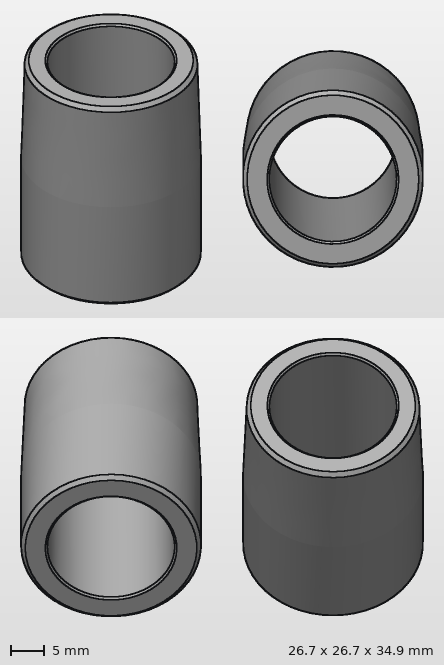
import cadquery as cq

height = 34.92
body_radius = 13.35
bore_radius = 9.43

shoulder_height = 17.67
neck_radius = 12.8

outer_chamfer = 0.63
bore_chamfer = 0.3

neck_height = height - outer_chamfer

section = (
    cq.Workplane("XZ")
    .moveTo(bore_radius + bore_chamfer, 0)
    .lineTo(body_radius - outer_chamfer, 0)
    .lineTo(body_radius, outer_chamfer)
    .lineTo(body_radius, shoulder_height)
    .lineTo(neck_radius, neck_height)
    .lineTo(neck_radius - outer_chamfer, height)
    .lineTo(bore_radius + bore_chamfer, height)
    .lineTo(bore_radius, height - bore_chamfer)
    .lineTo(bore_radius, bore_chamfer)
    .close()
)

result = section.revolve(360, (0, 0, 0), (0, 1, 0))